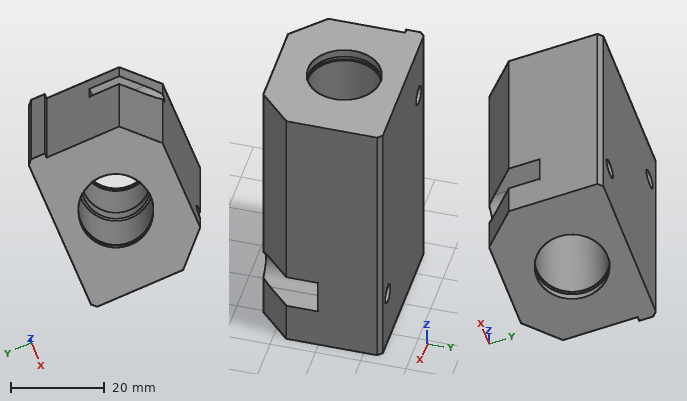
import cadquery as cq

height = 62.0
width = 35.0
depth = 28.0
lip_width = 1.0
lip_depth = 4.15
back_chamfer = 1.0
front_chamfer = 7.0

bore_from_back = 13.0
bore_diameter = 15.0
pocket_bore_diameter = 16.0
pocket_bore_depth = 27.9
groove_diameter = 16.9
groove_from_end = 1.85
groove_width = 1.1

pocket_diameter = 8.1
pocket_floor_from_front = 13.95
screw_diameter = 4.15
screw_from_center = 12.5
screw_from_end = 13.5

left = -width / 2
right = width / 2
body_left = left + lip_width
back = bore_from_back
front = back - depth


def make_block():
    """Extrude the outline; the bore axis is the Z axis."""
    outline = [
        (body_left + front_chamfer, front),
        (right - front_chamfer, front),
        (right, front + front_chamfer),
        (right, back - back_chamfer),
        (right - back_chamfer, back),
        (left + back_chamfer, back),
        (left, back - back_chamfer),
        (left, back - lip_depth),
        (body_left, back - lip_depth),
        (body_left, front + front_chamfer),
    ]
    return cq.Workplane("XY").polyline(outline).close().extrude(height)


def cylinder(diameter, start, length):
    """Cylinder on the bore axis; a negative length runs downward."""
    return cq.Workplane("XY").workplane(offset=start).circle(diameter / 2).extrude(length)


def make_bore():
    """Through bore, with a bushing pocket and its ring groove at both ends."""
    bore = cylinder(bore_diameter, 0, height)
    for end in (0, height):
        inward = 1 if end == 0 else -1
        groove_start = end + inward * groove_from_end
        bore = bore.union(cylinder(pocket_bore_diameter, end, inward * pocket_bore_depth))
        bore = bore.union(cylinder(groove_diameter, groove_start, inward * groove_width))
    return bore


def make_screw_seat(side, z):
    """Round-ended pocket open to the front and one side (-1 left, 1 right), with its screw hole."""
    x = side * screw_from_center
    plane = cq.Workplane("XZ", origin=(0, front, 0))
    slot_end = side * width / 2
    pocket = plane.center(x, z).circle(pocket_diameter / 2).extrude(-pocket_floor_from_front)
    opening = (
        plane.center((x + slot_end) / 2, z)
        .rect(abs(slot_end - x), pocket_diameter)
        .extrude(-pocket_floor_from_front)
    )
    hole = plane.center(x, z).circle(screw_diameter / 2).extrude(-depth)
    return pocket.union(opening).union(hole)


result = (
    make_block()
    .cut(make_bore())
    .cut(make_screw_seat(-1, height - screw_from_end))
    .cut(make_screw_seat(1, screw_from_end))
)